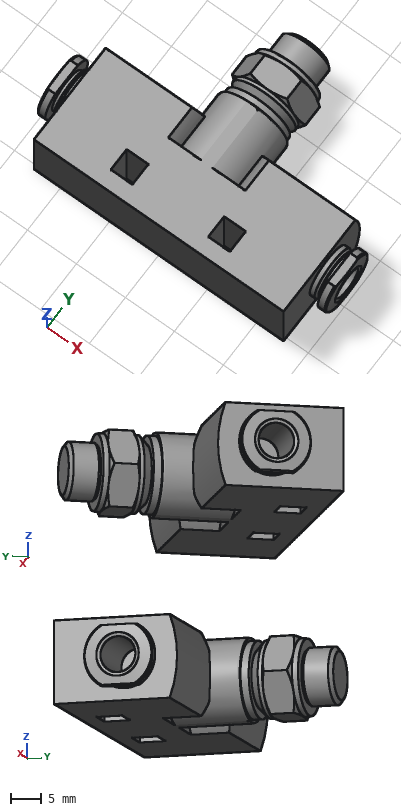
import cadquery as cq
import math


body_length = 51.0
body_height = 14.0
body_back_y = -12.25
body_front_y = 8.95
front_face_radius = 20.0

mount_hole_side = 4.4
mount_hole_x = 9.95
mount_hole_y = -6.8

neck_radius = 7.1
neck_end_radius = 7.0
neck_bevel_length = 0.4
neck_end_y = 14.05
groove_floor_y = 1.15
groove_wall_radius = 10.0
groove_wall_center_x = 15.0

collar_radius = 6.5
collar_end_y = 15.45
cone_small_radius = 4.95
cone_end_y = 17.0
hex_across_flats = 13.0
hex_start_y = 17.75
hex_end_y = 22.9
hex_bevel_angle = 30.0
washer_bevel_length = 0.45
washer_bevel_depth = 0.1
washer_end_y = 23.9
thread_radius = 4.865
thread_root_radius = 4.5
thread_start_y = 24.35
thread_tip_radius = 4.05
thread_tip_length = 0.65
stud_end_y = 29.25

port_end_x = 29.7
bore_radius = 3.0
bore_depth = 12.0
bore_mouth_radius = 3.65
bore_mouth_length = 0.2
ring_radius = 5.9
ring_face_radius = 5.75
ring_face_x = 29.45
ring_full_x = 29.2
ring_back_x = 27.8
ring_flat_spacing = 10.0
sleeve_radius = 4.05
collet_radius = 5.0
collet_face_radius = 4.65
collet_face_x = 27.0
collet_full_x = 26.5
port_root_x = 25.0


def cylinder_along_y(radius, start_y, end_y, center_x=0.0):
    """Cylinder on the Z = 0 plane with its axis parallel to Y."""
    start = cq.Vector(center_x, start_y, 0)
    return cq.Workplane(cq.Solid.makeCylinder(radius, end_y - start_y, start, cq.Vector(0, 1, 0)))


def revolve_about_y(points):
    """Turned solid from (radius, y) points."""
    return cq.Workplane("XY").polyline(points).close().revolve(360, (0, 0), (0, 1))


def revolve_about_x(points):
    """Turned solid from (x, radius) points."""
    return cq.Workplane("XY").polyline(points).close().revolve(360, (0, 0), (1, 0))


def make_block():
    """Block with a front face rounded about an axis parallel to X."""
    half_height = body_height / 2
    sagitta = front_face_radius - math.sqrt(front_face_radius**2 - half_height**2)
    edge_y = body_front_y - sagitta
    return (
        cq.Workplane("YZ")
        .moveTo(body_back_y, -half_height)
        .lineTo(edge_y, -half_height)
        .threePointArc((body_front_y, 0), (edge_y, half_height))
        .lineTo(body_back_y, half_height)
        .close()
        .extrude(body_length / 2, both=True)
    )


def make_grooves():
    """Space cleared beside the neck, with convex outer walls."""
    half_height = body_height / 2
    wall_offset = math.sqrt(groove_wall_radius**2 - half_height**2)
    half_width = groove_wall_center_x - wall_offset
    length = neck_end_y - groove_floor_y
    grooves = cq.Workplane("XY").box(2 * half_width, length, body_height, centered=(True, False, True))
    grooves = grooves.translate((0, groove_floor_y, 0))
    for side in (-1, 1):
        wall_x = side * groove_wall_center_x
        grooves = grooves.cut(cylinder_along_y(groove_wall_radius, groove_floor_y, neck_end_y, wall_x))
    return grooves


def make_neck():
    """Round neck, beveled at its end and cut flush with the block's top and bottom."""
    neck = revolve_about_y([
        (0, 0),
        (neck_radius, 0),
        (neck_radius, neck_end_y - neck_bevel_length),
        (neck_end_radius, neck_end_y),
        (0, neck_end_y),
    ])
    slab = cq.Workplane("XY").box(4 * neck_radius, 4 * neck_end_y, body_height)
    return neck.intersect(slab)


def make_hex_nut():
    """Hexagon with corners on the X axis, both ends beveled at the corners."""
    flat_radius = hex_across_flats / 2
    corner_radius = flat_radius / math.cos(math.radians(30))
    bevel = (corner_radius - flat_radius) * math.tan(math.radians(hex_bevel_angle))
    length = hex_end_y - hex_start_y
    prism = cq.Workplane("XZ", origin=(0, hex_end_y, 0)).polygon(6, 2 * corner_radius).extrude(length)
    envelope = revolve_about_y([
        (0, hex_start_y),
        (flat_radius, hex_start_y),
        (corner_radius, hex_start_y + bevel),
        (corner_radius, hex_end_y - bevel),
        (flat_radius, hex_end_y),
        (0, hex_end_y),
    ])
    return prism.intersect(envelope)


def make_stud():
    """Turned stud profile with the hexagon nut around it."""
    turned = revolve_about_y([
        (0, 0),
        (collar_radius, 0),
        (collar_radius, collar_end_y),
        (cone_small_radius, collar_end_y),
        (collar_radius, cone_end_y),
        (collar_radius, washer_end_y - washer_bevel_length),
        (collar_radius - washer_bevel_depth, washer_end_y),
        (thread_root_radius, washer_end_y),
        (thread_radius, thread_start_y),
        (thread_radius, stud_end_y - thread_tip_length),
        (thread_tip_radius, stud_end_y),
        (0, stud_end_y),
    ])
    return turned.union(make_hex_nut())


def make_port():
    """Release ring, sleeve and collet on the +X side, still without the bore."""
    ring = revolve_about_x([
        (ring_back_x, 0),
        (ring_back_x, ring_radius),
        (ring_full_x, ring_radius),
        (ring_face_x, ring_face_radius),
        (port_end_x, bore_mouth_radius),
        (port_end_x, 0),
    ])
    flats = cq.Workplane("XY").box(4 * port_end_x, 4 * ring_radius, ring_flat_spacing)
    collet = revolve_about_x([
        (port_root_x, 0),
        (port_root_x, collet_radius),
        (collet_full_x, collet_radius),
        (collet_face_x, collet_face_radius),
        (collet_face_x, sleeve_radius),
        (ring_back_x, sleeve_radius),
        (ring_back_x, 0),
    ])
    return collet.union(ring.intersect(flats))


def make_bore():
    """Blind tube bore on the +X side with a flared mouth."""
    return revolve_about_x([
        (port_end_x - bore_depth, 0),
        (port_end_x - bore_depth, bore_radius),
        (port_end_x - bore_mouth_length, bore_radius),
        (port_end_x, bore_mouth_radius),
        (port_end_x, 0),
    ])


def make_mount_holes():
    """Square holes through the full height of the block."""
    return (
        cq.Workplane("XY")
        .pushPoints([(-mount_hole_x, mount_hole_y), (mount_hole_x, mount_hole_y)])
        .rect(mount_hole_side, mount_hole_side)
        .extrude(body_height, both=True)
    )


result = make_block().cut(make_grooves()).union(make_neck()).union(make_stud())
result = result.cut(make_mount_holes())

port = make_port()
bore = make_bore()
result = result.union(port).union(port.mirror("YZ"))
result = result.cut(bore).cut(bore.mirror("YZ"))